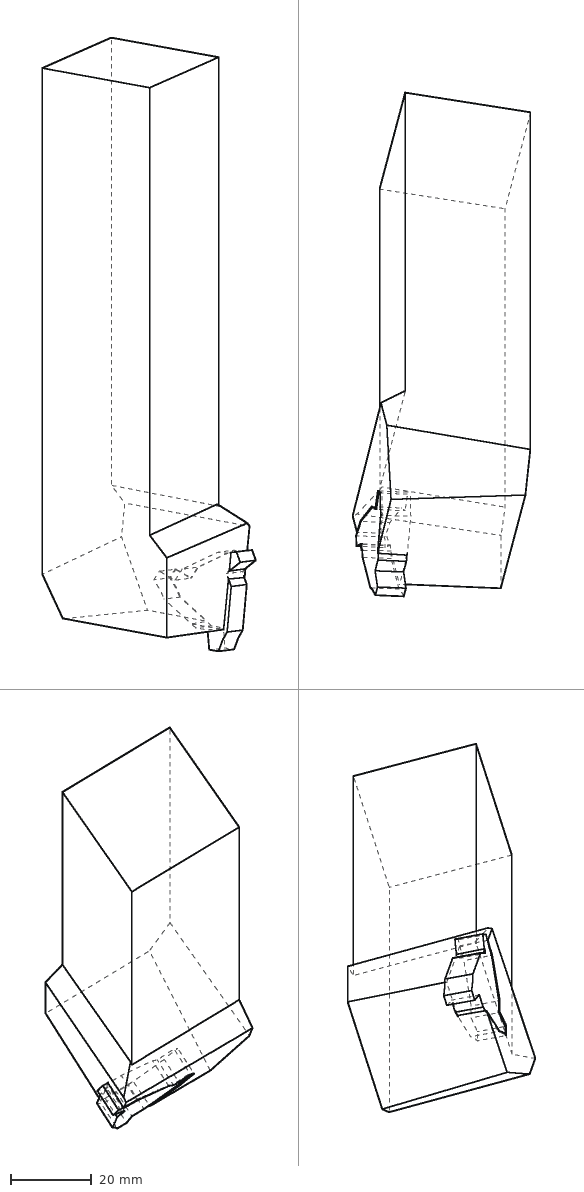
import cadquery as cq
import math

total_height = 151.9
shank_side = 31.6

flare_z = 36.6
head_x = 36.6
head_y = 37.7
head_twist = 0.6
back_lean = 10.0
floor_front_z = 11.1
floor_slope = 9.4
chamfer_z = 21.5
chamfer_angle = 60.0
margin = 3.0
flare_overlap = 1.4

insert_x = 29.9
insert_y = 26.9
insert_z = 14.5
insert_thickness = 7.3
tooth_count = 3
tip_radius = 13.4
tip_start = 3.3
tip_end = 6.0
neck_x = 2.3
plate_radius = 8.5
plate_corner_x = -1.2
heel_x = 7.0
heel_radius = 10.3
plate_side_x = 8.0
plate_side_radius = 8.2


def make_shank():
    shank_base = flare_z - flare_overlap
    size = (shank_side, shank_side, total_height - shank_base)
    return cq.Workplane("XY").box(*size, centered=False).translate((0, 0, shank_base))


def make_head():
    top_z = flare_z + flare_overlap
    reach = head_x + head_y
    chamfer_slope = math.tan(math.radians(chamfer_angle))
    front_outline = (
        cq.Workplane("XZ", origin=(0, -margin, 0))
        .polyline([
            (-margin, top_z),
            (shank_side - flare_overlap, top_z),
            (head_x, flare_z + shank_side - head_x),
            (head_x, 0),
            (chamfer_z / chamfer_slope, 0),
            (-margin, chamfer_z + margin * chamfer_slope),
        ])
        .close()
        .extrude(-reach)
    )

    floor_tan = math.tan(math.radians(floor_slope))
    lean_tan = math.tan(math.radians(back_lean))
    apex_z = flare_z + shank_side - head_y
    toe_y = (head_y - (apex_z - floor_front_z) * lean_tan) / (1 + floor_tan * lean_tan)
    side_outline = (
        cq.Workplane("YZ", origin=(-margin, 0, 0))
        .polyline([
            (-margin, top_z),
            (shank_side - flare_overlap, top_z),
            (head_y, apex_z),
            (toe_y, floor_front_z - toe_y * floor_tan),
            (-margin, floor_front_z + margin * floor_tan),
        ])
        .close()
        .extrude(reach)
    )
    twisted = front_outline.intersect(side_outline).rotate((0, 0, 0), (0, 0, 1), -head_twist)
    trim = cq.Workplane("XY").box(reach, reach, reach, centered=False)
    return twisted.intersect(trim)


def make_insert(thickness):
    """Insert blank; the tooth outline is repeated around the centre."""
    tooth = [
        (plate_corner_x, -plate_radius),
        (neck_x, -plate_radius),
        (tip_start, -tip_radius),
        (tip_end, -tip_radius),
        (heel_x, -heel_radius),
        (plate_side_x, -plate_side_radius),
    ]
    outline = []
    for index in range(tooth_count):
        turn = 2 * math.pi * index / tooth_count
        for x, y in tooth:
            turned_x = x * math.cos(turn) - y * math.sin(turn)
            turned_y = x * math.sin(turn) + y * math.cos(turn)
            outline.append((turned_x, turned_y))
    lean = math.radians(back_lean)
    plane = cq.Plane(
        origin=(insert_x, insert_y, insert_z),
        xDir=(1, 0, 0),
        normal=(0, -math.cos(lean), math.sin(lean)),
    )
    return cq.Workplane(plane).polyline(outline).close().extrude(-thickness)


pocket = make_insert(2 * insert_thickness)
holder = make_shank().union(make_head()).cut(pocket)
insert = make_insert(insert_thickness)

result = cq.Compound.makeCompound([holder.solids().val(), insert.val()])